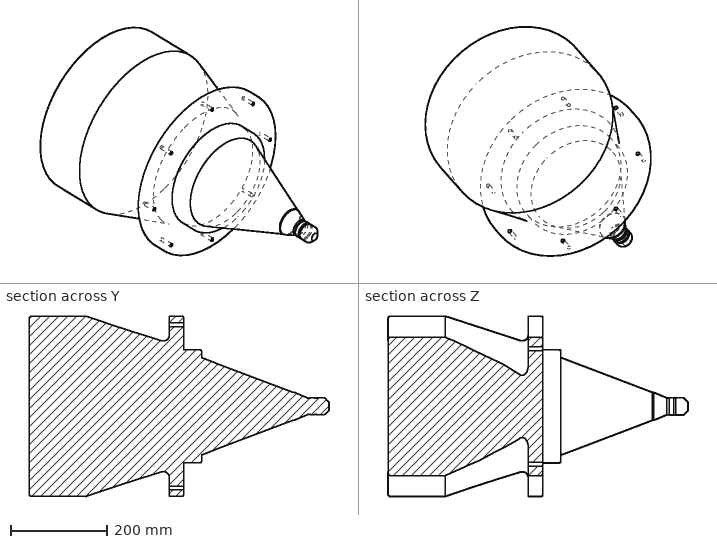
import cadquery as cq
import math


drum_end = 119.5
taper_end = 277.0
neck_end = 280.5
flange_start = 292.0
flange_end = 322.5
boss_end = 360.0
nose_end = 550.5
nose_band_end = 553.0
tip_taper_end = 580.0
tip_round_start = 613.5
tip_bevel_start = 617.5
overall_length = 625.0

drum_radius = 188.0
neck_radius = 137.0
boss_radius = 118.0
nose_base_radius = 102.0
nose_end_radius = 29.5
tip_radius = 18.0
tip_bevel_radius = 16.0

drum_round = 5.5
flange_front_round = 2.0
flange_back_round = 4.0
boss_round = 4.0
neck_fillet = flange_start - neck_end

tip_grooves = [(580.0, 585.5), (595.0, 598.5)]
groove_depth = 0.5

hole_count = 8
hole_circle_radius = 170.0
hole_diameter = 7.0


def round_corner(profile, corner_x, corner_r, radius, rising):
    """Line to a square corner of the profile, then round it with a quarter arc.

    rising: the outline climbs a face and turns along +X; otherwise it runs along +X and turns inward.
    """
    inset = radius * (1 - math.sqrt(0.5))
    if rising:
        middle = (corner_x + inset, corner_r - inset)
        start = (corner_x, corner_r - radius)
        end = (corner_x + radius, corner_r)
    else:
        middle = (corner_x - inset, corner_r - inset)
        start = (corner_x - radius, corner_r)
        end = (corner_x, corner_r - radius)
    return profile.lineTo(*start).threePointArc(middle, end)


def turned_body():
    """Revolve the half outline (x, radius) about the X axis."""
    profile = cq.Workplane("XY").moveTo(0, 0)

    profile = round_corner(profile, 0, drum_radius, drum_round, rising=True)
    profile = profile.lineTo(drum_end, drum_radius)
    profile = profile.lineTo(taper_end, neck_radius)
    profile = profile.lineTo(neck_end, neck_radius)
    profile = profile.threePointArc(
        (neck_end + neck_fillet * math.sqrt(0.5), neck_radius + neck_fillet * (1 - math.sqrt(0.5))),
        (flange_start, neck_radius + neck_fillet),
    )

    profile = round_corner(profile, flange_start, drum_radius, flange_front_round, rising=True)
    profile = round_corner(profile, flange_end, drum_radius, flange_back_round, rising=False)
    profile = profile.lineTo(flange_end, boss_radius)
    profile = round_corner(profile, boss_end, boss_radius, boss_round, rising=False)

    profile = profile.lineTo(boss_end, nose_base_radius)
    profile = profile.lineTo(nose_end, nose_end_radius)
    profile = profile.lineTo(nose_band_end, nose_end_radius)

    profile = profile.lineTo(tip_taper_end, tip_radius)
    profile = profile.lineTo(tip_round_start, tip_radius)
    profile = profile.tangentArcPoint((tip_bevel_start, tip_bevel_radius), relative=False)
    bevel = overall_length - tip_bevel_start
    profile = profile.lineTo(overall_length, tip_bevel_radius - bevel)
    profile = profile.lineTo(overall_length, 0)
    return profile.close().revolve(360, (0, 0, 0), (1, 0, 0))


def ring_groove(start, end):
    """Ring to be cut from the tip surface."""
    return (
        cq.Workplane("YZ", origin=(start, 0, 0))
        .circle(tip_radius + groove_depth)
        .circle(tip_radius - groove_depth)
        .extrude(end - start)
    )


def flange_holes():
    """Evenly spaced drills along X through the flange."""
    return (
        cq.Workplane("YZ", origin=(flange_start, 0, 0))
        .polarArray(hole_circle_radius, 0, 360, hole_count)
        .circle(hole_diameter / 2)
        .extrude(flange_end - flange_start)
    )


result = turned_body().cut(flange_holes())
for groove_start, groove_end in tip_grooves:
    result = result.cut(ring_groove(groove_start, groove_end))